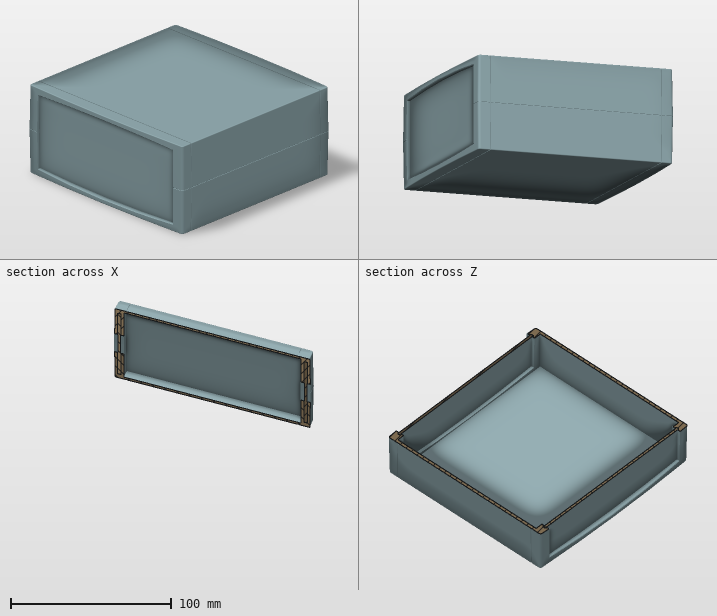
import cadquery as cq
import math

WIDTH = 135.0
LENGTH = 131.9
HEIGHT = 60.0

DRAFT = 0.9
END_BOW = 1.6
CORNER_RADIUS = 1.8
RIM_RADIUS = 0.5
PARTING_CHAMFER = 0.2
WALL = 2.2

WINDOW_MID_WIDTH = 119.3
WINDOW_CORNER_WIDTH = 118.5
WINDOW_MID_HEIGHT = 53.7
WINDOW_CORNER_HEIGHT = 50.1
WINDOW_CHAMFER = 0.4

PANEL_THICKNESS = 2.0
PANEL_RECESS = 3.2
PANEL_LIP = 1.1

GROOVE_WIDTH = 0.7
GROOVE_DEPTH = 0.3
GROOVE_Y = 56.7

half_height = HEIGHT / 2
draft_slope = math.tan(math.radians(DRAFT))
top_inset = half_height * draft_slope

rim_z = WINDOW_MID_HEIGHT / 2 + WINDOW_CHAMFER
parting_half_length = LENGTH / 2 + rim_z * draft_slope
parting_corner_y = parting_half_length - END_BOW

panel_outer_y = LENGTH / 2 - PANEL_RECESS
panel_inner_y = panel_outer_y - PANEL_THICKNESS

cavity_width = WIDTH - 2 * (WALL + top_inset)
cavity_length = 2 * (panel_inner_y - WALL)
cavity_height = HEIGHT - 2 * WALL

END_SIDES = (-1, 1)


def plan_outline():
    """Footprint at the parting plane: straight sides and bowed ends."""
    half_width = WIDTH / 2
    return (
        cq.Workplane("XY")
        .moveTo(-half_width, -parting_corner_y)
        .threePointArc((0, -parting_half_length), (half_width, -parting_corner_y))
        .lineTo(half_width, parting_corner_y)
        .threePointArc((0, parting_half_length), (-half_width, parting_corner_y))
        .close()
    )


def window_prism(margin, y_start, y_end):
    """Prism along Y with the window outline grown by a margin."""
    mid_x = WINDOW_MID_WIDTH / 2 + margin
    corner_x = WINDOW_CORNER_WIDTH / 2 + margin
    mid_z = WINDOW_MID_HEIGHT / 2 + margin
    corner_z = WINDOW_CORNER_HEIGHT / 2 + margin
    return (
        cq.Workplane("XZ", origin=(0, y_start, 0))
        .moveTo(-corner_x, -corner_z)
        .threePointArc((0, -mid_z), (corner_x, -corner_z))
        .lineTo(mid_x, 0)
        .lineTo(corner_x, corner_z)
        .threePointArc((0, mid_z), (-corner_x, corner_z))
        .lineTo(-mid_x, 0)
        .close()
        .extrude(y_start - y_end)
    )


def end_panel(side):
    """Flat panel that fills one window from behind."""
    return window_prism(PANEL_LIP, side * panel_inner_y, side * panel_outer_y)


def shell_block():
    """Solid upper half with drafted walls and all its outer edges broken."""
    block = plan_outline().extrude(half_height, taper=DRAFT)
    block = block.edges("not(#Z or |X or |Y)").edges("not(<Z or >Z)").fillet(CORNER_RADIUS)
    block = block.faces(">Z").edges().fillet(RIM_RADIUS)
    return block.faces("<Z").edges().chamfer(PARTING_CHAMFER)


def chamfer_window_edges(shell):
    """Chamfer the bowed outer edge of both windows, each found by its centre close to X = 0."""
    search_x = 1.4
    for side in END_SIDES:
        y_near, y_far = sorted((side * panel_outer_y, side * LENGTH))
        rim_edge = cq.selectors.BoxSelector(
            (-search_x, y_near, WINDOW_CORNER_HEIGHT / 2),
            (search_x, y_far, rim_z),
        )
        shell = shell.edges(rim_edge).chamfer(WINDOW_CHAMFER)
    return shell


def groove_cutter(side):
    """Thin band around the upper shell; its opening follows the drafted walls, one groove depth in."""
    opening_width = WIDTH - 2 * GROOVE_DEPTH
    opening = (
        cq.Workplane("XY")
        .rect(opening_width, LENGTH)
        .workplane(offset=half_height - GROOVE_DEPTH)
        .rect(opening_width - 2 * top_inset, LENGTH)
        .loft(ruled=True)
    )
    band = cq.Workplane("XY").box(2 * WIDTH, GROOVE_WIDTH, HEIGHT, centered=(True, True, False))
    return band.translate((0, side * GROOVE_Y, 0)).cut(opening)


def upper_shell():
    """Upper half of the housing: a hollow tray with half of each window."""
    cavity = cq.Workplane("XY").box(cavity_width, cavity_length, cavity_height)
    shell = shell_block().cut(cavity)
    shell = shell.cut(window_prism(0, -LENGTH, LENGTH))
    shell = chamfer_window_edges(shell)
    for side in END_SIDES:
        shell = shell.cut(end_panel(side))
        shell = shell.cut(groove_cutter(side))
    return shell


top_shell = upper_shell()
bottom_shell = top_shell.mirror("XY")
end_panels = [end_panel(side).val() for side in END_SIDES]

result = cq.Compound.makeCompound([top_shell.solids().val(), bottom_shell.solids().val(), *end_panels])